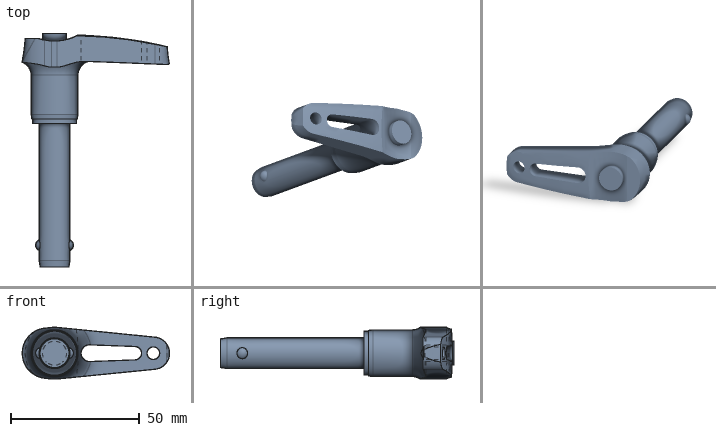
import cadquery as cq
import math


button_top = 35.0
overall_length = 90.7
pin_tip = button_top - overall_length

pin_radius = 6.0
tip_radius = 5.6
tip_taper_length = 2.5

ball_radius = 2.2
ball_reach = 7.35
ball_tip_distance = 8.5

button_radius = 4.65
button_base = 30.0

collar_radius = 9.1
collar_nose_radius = 8.55
collar_step_radius = 8.85
collar_step_height = 1.7
collar_taper_height = 3.55
flare_start = 18.8
flare_radius = 5.3

head_radius = 10.105
heel_center = -2.75
heel_radius = 9.8
toe_center = 38.35
toe_radius = 6.3

heel_top = 33.0
dish_radius = 19.0
dish_bottom = 32.0
dish_center_y = dish_bottom + dish_radius
crest_x = 9.2
crest_y = dish_center_y - math.sqrt(dish_radius**2 - crest_x**2)
arm_arc_mid = (28.7, 32.75)
arm_end_top = (43.75, 29.8)
arm_end_low = (44.55, 23.3)
arm_end_corner = (43.6, 22.85)
crown_radius = 110.0

heel_cone_top_radius = 11.4
heel_cone_slope = 0.13

slot_start = 10.34
slot_end = 33.75
slot_wide_radius = 3.2
slot_narrow_radius = 2.55
lanyard_hole_diameter = 4.8

clearance = 10.0


def turned(points):
    """Solid of revolution about Y from (radius, y) points, closed on the axis."""
    return cq.Workplane("XY").polyline(points).close().revolve(360, (0, 0, 0), (0, 1, 0))


def tangent_points(left, left_radius, right, right_radius):
    """Upper points where a line touches two circles centered on the X axis."""
    sine = (left_radius - right_radius) / (right - left)
    cosine = math.sqrt(1 - sine**2)
    return (
        (left + left_radius * sine, left_radius * cosine),
        (right + right_radius * sine, right_radius * cosine),
    )


def mirrored(point):
    return (point[0], -point[1])


def along_y(sketch_outline, bottom, top):
    """Extrude an outline drawn in (x, z) from Y = bottom to Y = top."""
    return sketch_outline.extrude(top - bottom).translate((0, top, 0))


def handle_outline():
    heel_point, head_left = tangent_points(heel_center, heel_radius, 0, head_radius)
    head_right, toe_point = tangent_points(0, head_radius, toe_center, toe_radius)
    return (
        cq.Workplane("XZ")
        .moveTo(*heel_point)
        .lineTo(*head_left)
        .threePointArc((0, head_radius), head_right)
        .lineTo(*toe_point)
        .threePointArc((toe_center + toe_radius, 0), mirrored(toe_point))
        .lineTo(*mirrored(head_right))
        .threePointArc((0, -head_radius), mirrored(head_left))
        .lineTo(*mirrored(heel_point))
        .threePointArc((heel_center - heel_radius, 0), heel_point)
        .close()
    )


def slot_outline():
    wide_center = slot_start + slot_wide_radius
    narrow_center = slot_end - slot_narrow_radius
    wide, narrow = tangent_points(wide_center, slot_wide_radius, narrow_center, slot_narrow_radius)
    return (
        cq.Workplane("XZ")
        .moveTo(*wide)
        .lineTo(*narrow)
        .threePointArc((slot_end, 0), mirrored(narrow))
        .lineTo(*mirrored(wide))
        .threePointArc((slot_start, 0), wide)
        .close()
    )


def handle_blank():
    """Turned blank whose flare, underside and end are all round about Y."""
    flare_outer = collar_radius + flare_radius
    flare_top = flare_start + flare_radius
    arc_mid_offset = flare_radius * math.cos(math.radians(45))
    flare_mid = (flare_outer - arc_mid_offset, flare_start + arc_mid_offset)
    return (
        cq.Workplane("XY")
        .moveTo(0, flare_start)
        .lineTo(collar_radius, flare_start)
        .threePointArc(flare_mid, (flare_outer, flare_top))
        .lineTo(*arm_end_corner)
        .tangentArcPoint(arm_end_low, relative=False)
        .lineTo(*arm_end_top)
        .lineTo(arm_end_top[0], crest_y)
        .lineTo(0, crest_y)
        .close()
        .revolve(360, (0, 0, 0), (0, 1, 0))
    )


def crown_envelope():
    """Drum around an axis along X whose surface is the crowned top of the arm."""
    axis_y = crest_y - crown_radius
    heel_x = heel_center - heel_radius - clearance
    end_x, end_y = arm_end_top
    return (
        cq.Workplane("XY")
        .moveTo(heel_x, axis_y)
        .lineTo(heel_x, crest_y)
        .lineTo(crest_x, crest_y)
        .threePointArc(arm_arc_mid, arm_end_top)
        .lineTo(end_x + clearance, end_y)
        .lineTo(end_x + clearance, axis_y)
        .close()
        .revolve(360, (0, axis_y, 0), (1, axis_y, 0))
    )


def dish_cutter():
    """Material above the flat heel top and the dished floor around the button."""
    dish_left_x = -math.sqrt(dish_radius**2 - (dish_center_y - heel_top) ** 2)
    heel_x = heel_center - heel_radius - clearance
    return (
        cq.Workplane("XY")
        .moveTo(heel_x, heel_top)
        .lineTo(dish_left_x, heel_top)
        .threePointArc((0, dish_bottom), (crest_x, crest_y))
        .lineTo(crest_x, crest_y + clearance)
        .lineTo(heel_x, crest_y + clearance)
        .close()
        .extrude(head_radius + clearance, both=True)
    )


def heel_trim():
    """Block beyond the heel with the conical heel face hollowed out of it."""
    cone_base_radius = heel_cone_top_radius + heel_cone_slope * (heel_top - flare_start)
    cone = turned([
        (0, flare_start),
        (cone_base_radius, flare_start),
        (heel_cone_top_radius, heel_top),
        (0, heel_top),
    ])
    width = 2 * (head_radius + clearance)
    block = cq.Workplane("XY").box(
        width, heel_top - flare_start, width, centered=(False, False, True)
    ).translate((heel_center - width, flare_start, 0))
    return block.cut(cone)


def handle():
    body = along_y(handle_outline(), flare_start, button_top).intersect(handle_blank())
    body = body.intersect(crown_envelope()).cut(dish_cutter()).cut(heel_trim())
    lanyard_hole = cq.Workplane("XZ").center(toe_center, 0).circle(lanyard_hole_diameter / 2)
    for opening in (slot_outline(), lanyard_hole):
        body = body.cut(along_y(opening, flare_start, button_top))
    return body


def collar():
    return turned([
        (0, 0),
        (collar_nose_radius, 0),
        (collar_nose_radius, collar_step_height),
        (collar_step_radius, collar_step_height),
        (collar_radius, collar_taper_height),
        (collar_radius, flare_start),
        (0, flare_start),
    ])


def pin():
    return turned([
        (0, pin_tip),
        (tip_radius, pin_tip),
        (pin_radius, pin_tip + tip_taper_length),
        (pin_radius, flare_start),
        (0, flare_start),
    ])


def button():
    return turned([
        (0, button_base),
        (button_radius, button_base),
        (button_radius, button_top),
        (0, button_top),
    ])


def locking_balls():
    ball_x = ball_reach - ball_radius
    ball_y = pin_tip + ball_tip_distance
    return (
        cq.Workplane("XY")
        .pushPoints([(-ball_x, ball_y), (ball_x, ball_y)])
        .sphere(ball_radius)
    )


result = handle().union(collar()).union(pin()).union(button()).union(locking_balls())